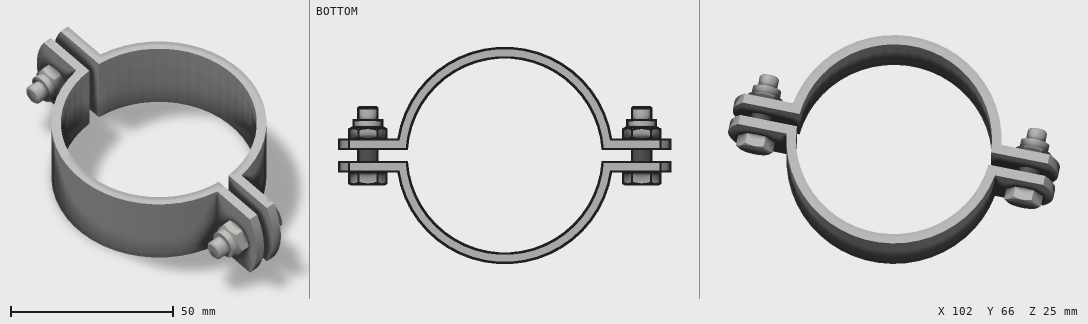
import cadquery as cq
import math

BAND_WIDTH = 25.0
THICKNESS = 3.0
OUTER_RADIUS = 33.0
INNER_RADIUS = OUTER_RADIUS - THICKNESS
GAP = 4.0
INNER_FACE = GAP / 2
OUTER_FACE = INNER_FACE + THICKNESS
HALF_LENGTH = 51.0
EAR_END_RADIUS = 26.0

BOLT_X = 42.0
BOLT_DIAMETER = 6.0
BOLT_HOLE_DIAMETER = 6.5
BOLT_END_Y = -14.9
BOLT_TIP_CHAMFER = 0.5
HEX_FLATS = 10.0
HEX_CORNERS = HEX_FLATS / math.cos(math.pi / 6)
CORNER_SLOPE = math.tan(math.radians(30))
HEAD_HEIGHT = 4.0
SEAT_HEIGHT = 0.3
SEAT_DIAMETER = 8.7
HEX_FACE_DIAMETER = 9.8
NUT_HEX_HEIGHT = 3.8
NUT_HEIGHT = 5.9
NUT_COLLAR_DIAMETER = 8.9


def rod(x, y_start, y_end, diameter):
    """Cylinder along Y, from y_start up to y_end."""
    return cq.Workplane("XZ", origin=(x, y_end, 0)).circle(diameter / 2).extrude(y_end - y_start)


def hexagon(x, y_start, y_end):
    """Hexagonal prism along Y with two corners pointing along X."""
    return cq.Workplane("XZ", origin=(x, y_end, 0)).polygon(6, HEX_CORNERS).extrude(y_end - y_start)


def corner_cone(x, y_face, y_base, face_diameter):
    """Cone widening from y_face to y_base, whose flank cuts the corners of a hexagon."""
    face_radius = face_diameter / 2
    base_radius = face_radius + abs(y_face - y_base) / CORNER_SLOPE
    return (
        cq.Workplane("XY")
        .polyline([(0, y_face), (face_radius, y_face), (base_radius, y_base), (0, y_base)])
        .close()
        .revolve(360, (0, 0), (0, 1))
        .translate((x, 0, 0))
    )


def ear_outline():
    """Prism along Y whose two ends are the rounded ends of the ears."""
    half_width = BAND_WIDTH / 2
    sagitta = EAR_END_RADIUS - math.sqrt(EAR_END_RADIUS**2 - half_width**2)
    corner_x = HALF_LENGTH - sagitta
    return (
        cq.Workplane("XZ")
        .moveTo(-corner_x, -half_width)
        .lineTo(corner_x, -half_width)
        .threePointArc((HALF_LENGTH, 0), (corner_x, half_width))
        .lineTo(-corner_x, half_width)
        .threePointArc((-HALF_LENGTH, 0), (-corner_x, -half_width))
        .close()
        .extrude(OUTER_FACE, both=True)
    )


def clamp_half(side):
    """Half ring with two drilled ears, on the +Y side (1) or the -Y side (-1)."""
    ears = ear_outline().intersect(
        cq.Workplane("XY")
        .box(2 * HALF_LENGTH, THICKNESS, BAND_WIDTH)
        .translate((0, side * (INNER_FACE + OUTER_FACE) / 2, 0))
    )
    half_space = (
        cq.Workplane("XY")
        .box(2 * OUTER_RADIUS, OUTER_RADIUS, BAND_WIDTH)
        .translate((0, side * (INNER_FACE + OUTER_RADIUS / 2), 0))
    )
    disc = cq.Workplane("XY").circle(OUTER_RADIUS).extrude(BAND_WIDTH / 2, both=True)
    bore = cq.Workplane("XY").circle(INNER_RADIUS).extrude(BAND_WIDTH / 2, both=True)
    half = disc.intersect(half_space).union(ears).cut(bore)
    for x in (-BOLT_X, BOLT_X):
        half = half.cut(rod(x, -OUTER_FACE, OUTER_FACE, BOLT_HOLE_DIAMETER))
    return half


def bolt(x):
    """Hex bolt seated on the +Y ear, with its tip toward -Y."""
    head_base = OUTER_FACE + SEAT_HEIGHT
    head_top = OUTER_FACE + HEAD_HEIGHT
    shank = rod(x, BOLT_END_Y, head_base, BOLT_DIAMETER).faces("<Y").chamfer(BOLT_TIP_CHAMFER)
    seat = rod(x, OUTER_FACE, head_base, SEAT_DIAMETER)
    head = hexagon(x, head_base, head_top)
    head = head.intersect(corner_cone(x, head_top, head_base, HEX_FACE_DIAMETER))
    return head.union(seat).union(shank)


def nut(x):
    """Collared hex nut seated on the -Y ear."""
    hex_end = -OUTER_FACE - NUT_HEX_HEIGHT
    nut_end = -OUTER_FACE - NUT_HEIGHT
    body = hexagon(x, hex_end, -OUTER_FACE)
    body = body.intersect(corner_cone(x, hex_end, -OUTER_FACE, NUT_COLLAR_DIAMETER))
    body = body.intersect(corner_cone(x, -OUTER_FACE, hex_end, HEX_FACE_DIAMETER))
    collar = rod(x, nut_end, hex_end, NUT_COLLAR_DIAMETER)
    bore = rod(x, nut_end, -OUTER_FACE, BOLT_DIAMETER)
    return body.union(collar).cut(bore)


clamp_halves = [clamp_half(side) for side in (1, -1)]
bolts = [bolt(x) for x in (-BOLT_X, BOLT_X)]
nuts = [nut(x) for x in (-BOLT_X, BOLT_X)]

result = cq.Compound.makeCompound([body.val() for body in clamp_halves + bolts + nuts])